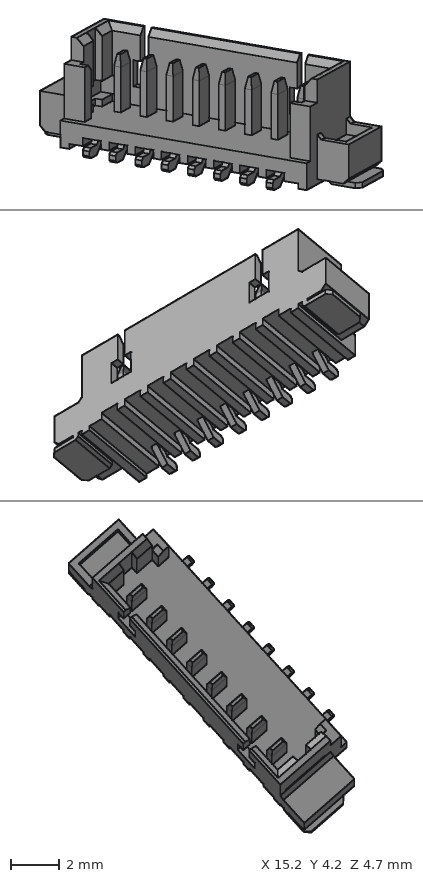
import cadquery as cq


length = 15.15
height = 4.7
depth = 4.2

body_half = 5.88
body_bottom = 0.33
floor_top = 1.29
base_front = 3.71
wall_front = 2.8
side_wall = 0.27
back_wall = 0.38
rib_half = 5.29
rib_gap_back = 1.23
rib_gap_front = 1.95
lead_in_height = 0.32
lead_in_back = 0.25
foot_width = 0.41
foot_bottom = 0.1

post_half = 4.91
post_front = 3.4
post_top = 3.68
post_bevel = 0.29

slot_center = 3.74
slot_width = 0.38
window_width = 1.06
window_top = 3.24

ear_half = 7.38
ear_top = 2.09
ear_bottom_bevel = 0.25
ear_top_bevel = 0.2

pocket_width = 1.21
pocket_skin = 0.02
pocket_back = 0.32
pocket_front = 2.5
pocket_bottom = 1.59
pocket_top = 2.41

pin_count = 8
pin_row = 8.75
pin_width = 0.32
pin_back = 0.71
pin_front = 1.55
pin_shoulder = 3.29
pin_top = 3.79
pin_tip_width = 0.15
pin_tip_depth = 0.59
notch_width = 0.86
notch_top = 0.7
lead_height = 0.45
lead_bevel = 0.12
lead_heel = 3.58

nail_depth = 2.21
nail_thickness = 0.24
nail_bevel = 0.21
nail_step = 6.38
nail_inner = 6.09
nail_bend = 0.14

pin_pitch = pin_row / (pin_count - 1)
pin_places = [i * pin_pitch - pin_row / 2 for i in range(pin_count)]


def block(x0, x1, front, back, z0, z1):
    """Box between two X places, two distances in front of the back face, and two heights."""
    return cq.Workplane("XY").box(x1 - x0, front - back, z1 - z0, centered=False).translate((x0, -front, z0))


def mirrored(shape):
    """The shape together with its mirror image on the other end of the row."""
    return shape.union(shape.mirror("YZ"))


def along_y(points, front):
    """Outline in X and Z, extruded from the back face to the given front."""
    return cq.Workplane("XZ").polyline(points).close().extrude(front)


def make_shell():
    """Floor with an open-front shroud whose rim is bevelled inwards."""
    shell = block(-body_half, body_half, base_front, 0, body_bottom, floor_top)
    shell = shell.union(block(-body_half, body_half, wall_front, 0, floor_top, height))
    shell = shell.cut(block(-rib_half, rib_half, wall_front, back_wall, floor_top, height))

    rim_half = body_half - side_wall
    rim_bottom = height - lead_in_height
    side_lead_in = along_y([(rib_half, rim_bottom), (rim_half, height), (rib_half, height)], wall_front)
    lead_in_limit = (
        cq.Workplane("YZ")
        .polyline([
            (-wall_front, rim_bottom),
            (-back_wall, rim_bottom),
            (-back_wall + lead_in_back, height),
            (-wall_front, height),
        ])
        .close()
        .extrude(rim_half, both=True)
    )
    opening = mirrored(side_lead_in).union(block(-rib_half, rib_half, wall_front, 0, rim_bottom, height))
    shell = shell.cut(opening.intersect(lead_in_limit))

    rib_gap = block(rib_half, rim_half, rib_gap_front, rib_gap_back, floor_top, height)
    return shell.cut(mirrored(rib_gap))


def make_post():
    """Post in front of a side wall, bevelled behind its free inner edge."""
    post = block(post_half, body_half, post_front, wall_front, floor_top, post_top)
    bevel = (
        cq.Workplane("YZ")
        .polyline([
            (-wall_front, post_top - post_bevel),
            (-wall_front, post_top),
            (-wall_front - post_bevel, post_top),
        ])
        .close()
        .extrude(rib_half - post_half)
        .translate((post_half, 0, 0))
    )
    return post.cut(bevel)


def make_ear():
    outline = [
        (body_half, body_bottom),
        (ear_half - ear_bottom_bevel, body_bottom),
        (ear_half, body_bottom + ear_bottom_bevel),
        (ear_half, ear_top),
        (body_half + ear_top_bevel, ear_top),
        (body_half, ear_top + ear_top_bevel),
    ]
    return along_y(outline, wall_front)


def make_foot():
    return block(body_half - foot_width, body_half, base_front, 0, foot_bottom, body_bottom)


def make_back_opening():
    """Window through the back wall with a narrower slot up to the rim."""
    window = block(
        slot_center - window_width / 2, slot_center + window_width / 2, back_wall, 0, ear_top, window_top
    )
    slot = block(slot_center - slot_width / 2, slot_center + slot_width / 2, back_wall, 0, window_top, height)
    return window.union(slot)


def make_pocket(start):
    """Nail pocket running in +X from the given place."""
    return block(start, start + pocket_width, pocket_front, pocket_back, pocket_bottom, pocket_top)


def make_nail():
    """Flat soldering plate with bevelled outer corners, stepped up to the ear."""
    outline = [
        (length / 2, 0),
        (length / 2, nail_thickness),
        (nail_step, nail_thickness),
        (nail_step, body_bottom),
        (nail_inner, body_bottom),
        (nail_inner, nail_bend),
        (nail_inner + nail_bend, 0),
    ]
    return along_y(outline, nail_depth).edges("|Z and >X").chamfer(nail_bevel)


def make_pin():
    """Blade with a tapered tip, and a lead that slopes down to the soldering plane."""
    blade_depth = pin_front - pin_back
    blade_middle = (pin_front + pin_back) / 2
    blade = block(-pin_width / 2, pin_width / 2, pin_front, pin_back, notch_top, pin_shoulder)
    tip = (
        cq.Workplane("XY", origin=(0, -blade_middle, pin_shoulder))
        .rect(pin_width, blade_depth)
        .workplane(offset=pin_top - pin_shoulder)
        .rect(pin_tip_width, pin_tip_depth)
        .loft()
    )
    lead = (
        cq.Workplane("YZ")
        .polyline([
            (-lead_heel, 0),
            (-depth + lead_bevel, 0),
            (-depth, lead_bevel),
            (-depth, lead_height - lead_bevel),
            (-depth + lead_bevel, lead_height),
            (-lead_heel, lead_height),
            (-lead_heel + notch_top - lead_height, notch_top),
            (-lead_heel + notch_top, notch_top),
        ])
        .close()
        .extrude(pin_width / 2, both=True)
    )
    return blade.union(tip).union(lead)


housing = make_shell().union(mirrored(make_post())).union(mirrored(make_ear())).union(mirrored(make_foot()))
housing = housing.cut(mirrored(make_back_opening()))

housing = housing.cut(make_pocket(body_half)).cut(make_pocket(-body_half + pocket_skin))

for x in pin_places:
    housing = housing.cut(block(x - notch_width / 2, x + notch_width / 2, base_front, 0, body_bottom, notch_top))

result = housing.union(mirrored(make_nail()))
pin = make_pin()
for x in pin_places:
    result = result.union(pin.translate((x, 0, 0)))